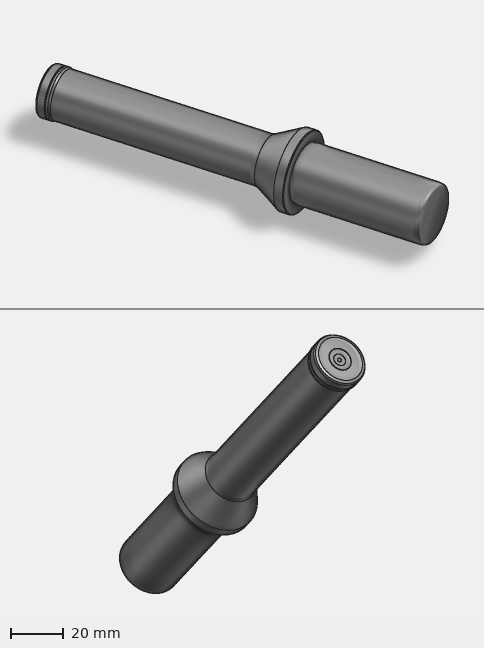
import cadquery as cq

total_length = 166.6
face_depth = 0.2
tip_slope_length = 0.3
tip_corner_length = 1.0
tip_length = 4.5
head_end = 5.7
head_taper_end = 6.7
cone_blend_start = 92.7
cone_start = 94.7
cone_end = 105.1
flange_start = 106.1
flange_end = 110.3
relief_end = 111.3
shank_start = 112.3
shank_corner_start = 164.1

head_diameter = 21.8
tip_face_diameter = 16.3
tip_ring_diameter = 18.7
tip_slope_diameter = 21.0
body_diameter = 21.0
cone_small_diameter = 21.7
cone_large_diameter = 33.0
flange_diameter = 34.0
relief_diameter = 24.5
shank_diameter = 25.0

joint_chamfer = 0.3
flange_chamfer = 0.3
shank_lead_in = 1.2
shank_lead_in_drop = 0.2
shank_end_round = total_length - shank_corner_start - shank_lead_in

rim_diameter = 9.3
rim_depth = 0.5
seat_diameter = 8.0
seat_depth = 0.7
bore_diameter = 5.0
bore_depth = 0.8
center_diameter = 1.7
center_depth = 1.0


def revolve_about_x(profile):
    """Revolve a closed profile of (axial, radial) coordinates about the X axis."""
    return profile.close().revolve(360, (0, 0, 0), (1, 0, 0))


def make_tip():
    """Short cutting tip with a beveled corner and a stepped recess in its face."""
    profile = cq.Workplane("XY").polyline([
        (center_depth, 0),
        (center_depth, center_diameter / 2),
        (bore_depth, center_diameter / 2),
        (bore_depth, bore_diameter / 2),
        (seat_depth, bore_diameter / 2),
        (seat_depth, seat_diameter / 2),
        (rim_depth, rim_diameter / 2),
        (face_depth, rim_diameter / 2),
        (face_depth, tip_face_diameter / 2),
        (0, tip_ring_diameter / 2),
        (tip_slope_length, tip_slope_diameter / 2),
        (tip_corner_length, head_diameter / 2),
        (tip_length - joint_chamfer, head_diameter / 2),
        (tip_length, head_diameter / 2 - joint_chamfer),
        (tip_length, 0),
    ])
    return revolve_about_x(profile)


def make_holder():
    """Holder with a slim body, a conical flange and a clamping shank."""
    shank_radius = shank_diameter / 2
    round_outer_radius = shank_radius - shank_lead_in_drop
    round_start = total_length - shank_end_round
    profile = (
        cq.Workplane("XY")
        .polyline([
            (tip_length, 0),
            (tip_length, head_diameter / 2),
            (head_end, head_diameter / 2),
            (head_taper_end, body_diameter / 2),
            (cone_blend_start, body_diameter / 2),
            (cone_start, cone_small_diameter / 2),
            (cone_end, cone_large_diameter / 2),
            (flange_start, flange_diameter / 2),
            (flange_end - flange_chamfer, flange_diameter / 2),
            (flange_end, flange_diameter / 2 - flange_chamfer),
            (flange_end, relief_diameter / 2),
            (relief_end, relief_diameter / 2),
            (shank_start, shank_radius),
            (shank_corner_start, shank_radius),
            (round_start, round_outer_radius),
        ])
        .radiusArc((total_length, round_outer_radius - shank_end_round), shank_end_round)
        .lineTo(total_length, 0)
    )
    return revolve_about_x(profile)


tip = make_tip()
holder = make_holder()
result = cq.Compound.makeCompound([tip.val(), holder.val()])